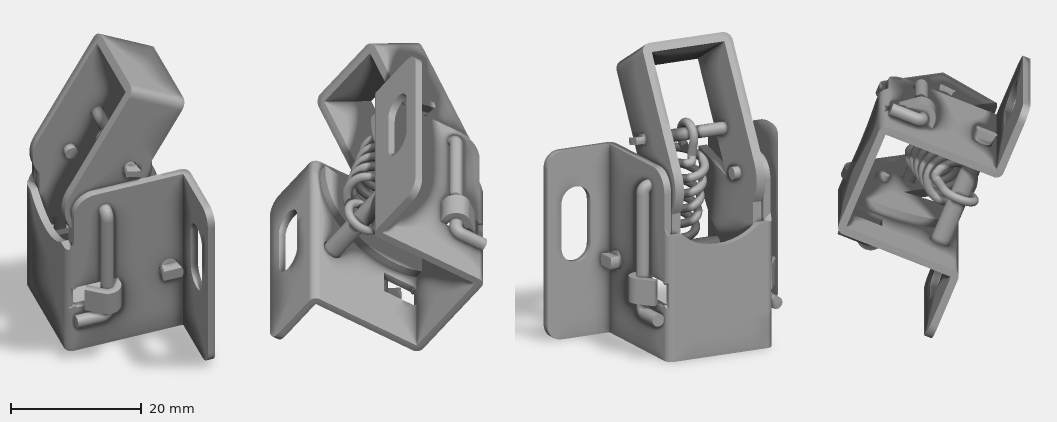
import cadquery as cq
import math


BRACKET_WIDTH = 40.0
BRACKET_DEPTH = 20.2
BRACKET_HEIGHT = 30.0
SHEET = 1.2
CHANNEL_HALF = 9.2
CHANNEL_INNER = CHANNEL_HALF - SHEET
FRONT_INNER_Y = SHEET - BRACKET_DEPTH
FLANGE_CORNER_RADIUS = 2.5
WALL_CORNER_RADIUS = 3.5
FRONT_HEIGHT = 20.0
FRONT_SCOOP_RADIUS = 10.0
FRONT_SCOOP_Z = 27.5
BEND_RAMP_ANGLE = 35.0
BEND_RAMP_RISE = 1.15

SLOT_X = 15.0
SLOT_Z = 18.0
SLOT_LENGTH = 12.0
SLOT_WIDTH = 5.0

HINGE_PIN_RADIUS = 1.0
HINGE_BEND_RADIUS = 1.05
HINGE_Y = -14.0
HINGE_Z = 26.65
HINGE_INNER_X = 5.15
HINGE_UPRIGHT_X = CHANNEL_HALF + HINGE_BEND_RADIUS
HINGE_ARM_Z = 6.63
HINGE_ARM_END_Y = -19.05

TAB_BOTTOM = 8.5
TAB_TOP = 12.5
TAB_OUTER_RADIUS = HINGE_PIN_RADIUS + SHEET
TAB_LEAN = 38.0
TAB_TAIL = 2.9
FOLD_FLAT_X = 8.8
WINDOW_NIB_HALF = 0.52
WINDOW_NIB_HEIGHT = 0.4

HANDLE_TILT = 30.0
HANDLE_HALF = 7.75
HANDLE_SHEET = 1.5
HANDLE_REACH = 20.85
HANDLE_DEPTH = 10.0
KNUCKLE_RADIUS = 5.95
CAM_RADIUS = 13.0
CAM_STEP_ANGLE = 15.0
CAM_STEP_RISE = 0.55
FOOT_OFFSET = 4.8

UPPER_PIN_Y = -9.4
UPPER_PIN_Z = 32.55
UPPER_PIN_RADIUS = 1.0
UPPER_PIN_HOLE_RADIUS = 1.15
UPPER_PIN_HALF = 9.55
UPPER_HEAD_RADIUS = 1.3
UPPER_FLAT = 1.1
UPPER_FLAT_ANGLE = -14.0

LOWER_PIN_Y = -3.55
LOWER_PIN_Z = 12.15
LOWER_PIN_RADIUS = 1.5
LOWER_PIN_HOLE_RADIUS = 1.6
LOWER_PIN_HALF = 11.05
LOWER_HEAD_RADIUS = 1.7
LOWER_FLAT = 1.8
LOWER_FLAT_ANGLE = 0.0

PINCH_LENGTH = 0.35

WIRE_RADIUS = 0.65
COIL_RADIUS = 3.5
COIL_PITCH = 2.7
COIL_TURNS = 5.0
COIL_SETBACK = 0.25
UPPER_COIL_GAP = 3.4
HOOK_SLACK = 0.45
ELBOW_ANGLE = 15.0
ELBOW_DROP = 1.05


def mirrored(shape):
    return shape.mirror("YZ")


def rod_x(radius, half_length, y, z):
    """Round rod along X, centred on X = 0."""
    return cq.Workplane("YZ", origin=(-half_length, y, z)).circle(radius).extrude(2 * half_length)


def polar(radius, angle):
    return (radius * math.cos(math.radians(angle)), radius * math.sin(math.radians(angle)))


def folded_sheet():
    half_width = BRACKET_WIDTH / 2
    fold = SHEET * (1 - math.sqrt(0.5))
    return (
        cq.Workplane("XY")
        .moveTo(0, -BRACKET_DEPTH)
        .lineTo(CHANNEL_INNER, -BRACKET_DEPTH)
        .threePointArc((CHANNEL_HALF - fold, fold - BRACKET_DEPTH), (CHANNEL_HALF, FRONT_INNER_Y))
        .lineTo(CHANNEL_HALF, -SHEET)
        .lineTo(half_width, -SHEET)
        .lineTo(half_width, 0)
        .lineTo(CHANNEL_HALF, 0)
        .threePointArc((CHANNEL_INNER + fold, -fold), (CHANNEL_INNER, -SHEET))
        .lineTo(CHANNEL_INNER, FRONT_INNER_Y)
        .lineTo(0, FRONT_INNER_Y)
        .mirrorY()
        .extrude(BRACKET_HEIGHT)
    )


def bend_ramp():
    """Sloping wedge left on the right front fold, rising from the inner corner to the outer face."""
    along = (*polar(1, -BEND_RAMP_ANGLE), 0)
    plane = cq.Plane(origin=(CHANNEL_INNER, FRONT_INNER_Y, FRONT_HEIGHT), xDir=(0, 0, 1), normal=along)
    rise = 2 * BEND_RAMP_RISE
    run = 2 * SHEET * math.sin(math.radians(BEND_RAMP_ANGLE))
    return cq.Workplane(plane).polyline([(0, 0), (0, -run), (rise, -run)]).close().extrude(2 * SHEET)


def front_clearance():
    """Space removed above the front wall."""
    clearance = (
        cq.Workplane("XY", origin=(0, FRONT_INNER_Y - SHEET / 2, FRONT_HEIGHT))
        .rect(2 * CHANNEL_HALF, SHEET)
        .extrude(BRACKET_HEIGHT - FRONT_HEIGHT)
    )
    ramp = bend_ramp()
    return clearance.cut(ramp).cut(mirrored(ramp))


def front_scoop():
    return (
        cq.Workplane("XZ", origin=(0, FRONT_INNER_Y, FRONT_SCOOP_Z))
        .circle(FRONT_SCOOP_RADIUS)
        .extrude(SHEET)
    )


def tab_window():
    """Opening in the right wall in front of the tab, with a flat on the fold and nibs at the fold line."""
    height = TAB_TOP - TAB_BOTTOM

    def block(inner_x, back_y, front_y):
        return cq.Workplane("XY").box(
            CHANNEL_HALF - inner_x, back_y - front_y, height, centered=False
        ).translate((inner_x, front_y, TAB_BOTTOM))

    opening = block(CHANNEL_INNER, HINGE_Y + HINGE_PIN_RADIUS, FRONT_INNER_Y)
    window = opening.union(block(FOLD_FLAT_X, FRONT_INNER_Y, -BRACKET_DEPTH))
    for edge_z, tip_z in (
        (TAB_BOTTOM, TAB_BOTTOM + WINDOW_NIB_HEIGHT),
        (TAB_TOP, TAB_TOP - WINDOW_NIB_HEIGHT),
    ):
        outline = [
            (FRONT_INNER_Y + WINDOW_NIB_HALF, edge_z),
            (FRONT_INNER_Y, tip_z),
            (FRONT_INNER_Y - WINDOW_NIB_HALF, edge_z),
        ]
        nib = cq.Workplane("YZ", origin=(CHANNEL_INNER, 0, 0)).polyline(outline).close().extrude(SHEET)
        window = window.cut(nib)
    return window


def tab():
    """Right tab: straight out of the wall, around the hinge pin, then back toward the wall."""
    def around_pin(radius, angle):
        x, y = polar(radius, angle)
        return (HINGE_UPRIGHT_X + x, HINGE_Y + y)

    def tail_end(start):
        x, y = polar(TAB_TAIL, -90 - TAB_LEAN)
        return (start[0] + x, start[1] + y)

    outer_start = around_pin(TAB_OUTER_RADIUS, -TAB_LEAN)
    inner_start = around_pin(HINGE_PIN_RADIUS, -TAB_LEAN)
    return (
        cq.Workplane("XY", origin=(0, 0, TAB_BOTTOM))
        .moveTo(CHANNEL_INNER, HINGE_Y + TAB_OUTER_RADIUS)
        .lineTo(*around_pin(TAB_OUTER_RADIUS, 90))
        .threePointArc(around_pin(TAB_OUTER_RADIUS, 0), outer_start)
        .lineTo(*tail_end(outer_start))
        .lineTo(*tail_end(inner_start))
        .lineTo(*inner_start)
        .threePointArc(around_pin(HINGE_PIN_RADIUS, 0), around_pin(HINGE_PIN_RADIUS, 90))
        .lineTo(CHANNEL_INNER, HINGE_Y + HINGE_PIN_RADIUS)
        .close()
        .extrude(TAB_TOP - TAB_BOTTOM)
    )


def make_bracket():
    body = folded_sheet().cut(front_clearance()).cut(front_scoop())
    body = body.edges("|Y").edges("<X or >X").fillet(FLANGE_CORNER_RADIUS)
    wall_corner = cq.selectors.BoxSelector(
        (-CHANNEL_HALF, FRONT_INNER_Y - SHEET, BRACKET_HEIGHT - SHEET),
        (CHANNEL_HALF, FRONT_INNER_Y + SHEET, BRACKET_HEIGHT + SHEET),
    )
    body = body.edges("|X").edges(wall_corner).fillet(WALL_CORNER_RADIUS)
    slots = (
        cq.Workplane("XZ", origin=(0, 0, SLOT_Z))
        .pushPoints([(-SLOT_X, 0), (SLOT_X, 0)])
        .slot2D(SLOT_LENGTH, SLOT_WIDTH, 90)
        .extrude(SHEET)
    )
    body = body.cut(slots)
    body = body.cut(rod_x(HINGE_PIN_RADIUS, CHANNEL_HALF, HINGE_Y, HINGE_Z))
    body = body.cut(rod_x(LOWER_PIN_HOLE_RADIUS, CHANNEL_HALF, LOWER_PIN_Y, LOWER_PIN_Z))
    window = tab_window()
    right_tab = tab()
    body = body.cut(window).cut(mirrored(window))
    return body.union(right_tab).union(mirrored(right_tab))


def handle_side():
    """Side outline of the handle about the hinge axis, extruded over the full width."""
    tilt = math.radians(HANDLE_TILT)

    def handle_point(back, up):
        return (
            back * math.cos(tilt) + up * math.sin(tilt),
            up * math.cos(tilt) - back * math.sin(tilt),
        )

    back = HANDLE_DEPTH - KNUCKLE_RADIUS
    step_corner = handle_point(back, CAM_STEP_RISE)
    step_y, step_z = polar(1, CAM_STEP_ANGLE)
    along = step_corner[0] * step_y + step_corner[1] * step_z
    corner_radius = math.hypot(*step_corner)
    step_length = math.sqrt(along**2 + CAM_RADIUS**2 - corner_radius**2) - along
    step_end = (step_corner[0] + step_length * step_y, step_corner[1] + step_length * step_z)
    foot_bottom = (-FOOT_OFFSET, -math.sqrt(CAM_RADIUS**2 - FOOT_OFFSET**2))
    foot_top = (-FOOT_OFFSET, -math.sqrt(KNUCKLE_RADIUS**2 - FOOT_OFFSET**2))
    return (
        cq.Workplane("YZ", origin=(-HANDLE_HALF, HINGE_Y, HINGE_Z))
        .moveTo(*handle_point(-KNUCKLE_RADIUS, 0))
        .lineTo(*handle_point(-KNUCKLE_RADIUS, HANDLE_REACH))
        .lineTo(*handle_point(back, HANDLE_REACH))
        .lineTo(*step_corner)
        .lineTo(*step_end)
        .threePointArc((0, -CAM_RADIUS), foot_bottom)
        .lineTo(*foot_top)
        .threePointArc((-KNUCKLE_RADIUS, 0), handle_point(-KNUCKLE_RADIUS, 0))
        .close()
        .extrude(2 * HANDLE_HALF)
    )


def handle_frame():
    """U shape in the plane of the handle, with rounded upper corners and open below."""
    front_y, front_z = polar(1, 180 - HANDLE_TILT)
    plane = cq.Plane(origin=(0, HINGE_Y, HINGE_Z), xDir=(1, 0, 0), normal=(0, front_y, front_z))

    ample = 2 * CAM_RADIUS

    def upright_block(half_width, top):
        height = top + ample
        return (
            cq.Workplane(plane)
            .center(0, top - height / 2)
            .rect(2 * half_width, height)
            .extrude(ample, both=True)
        )

    outer = upright_block(HANDLE_HALF, HANDLE_REACH)
    top_corners = cq.selectors.ParallelDirSelector(cq.Vector(0, front_y, front_z))
    outer = outer.faces(">Z").edges(top_corners).fillet(HANDLE_SHEET)
    return outer.cut(upright_block(HANDLE_HALF - HANDLE_SHEET, HANDLE_REACH - HANDLE_SHEET))


def make_handle():
    body = handle_side().intersect(handle_frame())
    body = body.cut(rod_x(HINGE_PIN_RADIUS, HANDLE_HALF, HINGE_Y, HINGE_Z))
    return body.cut(rod_x(UPPER_PIN_HOLE_RADIUS, HANDLE_HALF, UPPER_PIN_Y, UPPER_PIN_Z))


def make_right_hinge_pin():
    """Wire that enters along X, runs down beside the wall and ends in an arm toward the front."""
    x, y = HINGE_UPRIGHT_X, HINGE_Y
    bend = HINGE_BEND_RADIUS
    mid = bend * (1 - math.sqrt(0.5))
    start = cq.Vector(HINGE_INNER_X, y, HINGE_Z)
    top_in = cq.Vector(x - bend, y, HINGE_Z)
    top_mid = cq.Vector(x - mid, y, HINGE_Z - mid)
    top_out = cq.Vector(x, y, HINGE_Z - bend)
    low_in = cq.Vector(x, y, HINGE_ARM_Z + bend)
    low_mid = cq.Vector(x, y - mid, HINGE_ARM_Z + mid)
    low_out = cq.Vector(x, y - bend, HINGE_ARM_Z)
    path = cq.Wire.assembleEdges([
        cq.Edge.makeLine(start, top_in),
        cq.Edge.makeThreePointArc(top_in, top_mid, top_out),
        cq.Edge.makeLine(top_out, low_in),
        cq.Edge.makeThreePointArc(low_in, low_mid, low_out),
        cq.Edge.makeLine(low_out, cq.Vector(x, HINGE_ARM_END_Y, HINGE_ARM_Z)),
    ])
    return cq.Workplane("YZ", origin=start.toTuple()).circle(HINGE_PIN_RADIUS).sweep(path)


def make_spring_pin(y, z, radius, half_length, shank_half, head_radius, flat, flat_angle):
    """Round shank whose ends widen and are pinched to two parallel flats."""
    half_flat = flat / 2
    flat_x = shank_half + PINCH_LENGTH
    round_half = [(0, 0), (0, radius), (shank_half, radius), (half_length, head_radius), (half_length, 0)]
    right = cq.Workplane("XY").polyline(round_half).close().revolve(360, (0, 0), (1, 0))
    pinch = [
        (0, -head_radius), (shank_half, -head_radius), (flat_x, -half_flat), (half_length, -half_flat),
        (half_length, half_flat), (flat_x, half_flat), (shank_half, head_radius), (0, head_radius),
    ]
    right = right.intersect(cq.Workplane("XZ").polyline(pinch).close().extrude(head_radius, both=True))
    pin = right.union(mirrored(right))
    return pin.rotate((0, 0, 0), (1, 0, 0), flat_angle).translate((0, y, z))


def hook_edges(pin_radius, coil_end, coil_tangent):
    """Wire centreline of a hook on a pin at the origin: open loop, leg along -Z, elbow into the coil."""
    radius = pin_radius + WIRE_RADIUS + HOOK_SLACK
    centre_z = -HOOK_SLACK
    tail = cq.Vector(0, 0, centre_z - radius)
    loop_y, loop_z = polar(radius, 45)
    loop_mid = cq.Vector(0, loop_y, centre_z + loop_z)
    leg_top = cq.Vector(0, -radius, centre_z)
    leg_bottom = cq.Vector(0, -radius, coil_end.z + ELBOW_DROP)
    return [
        cq.Edge.makeThreePointArc(tail, loop_mid, leg_top),
        cq.Edge.makeLine(leg_top, leg_bottom),
        cq.Edge.makeSpline([leg_bottom, coil_end], tangents=[cq.Vector(0, 0, -1), coil_tangent]),
    ]


def make_spring():
    """Spring built upright under the upper pin at the origin, then tilted onto the lower pin."""
    run_y = LOWER_PIN_Y - UPPER_PIN_Y
    drop = UPPER_PIN_Z - LOWER_PIN_Z
    span = math.hypot(run_y, drop)

    coil_height = COIL_PITCH * (COIL_TURNS - 2 * ELBOW_ANGLE / 360)
    coil_low_z = -UPPER_COIL_GAP - coil_height
    end_x, end_y = polar(COIL_RADIUS, 270 - ELBOW_ANGLE)
    end_y += COIL_SETBACK
    tangent_x, tangent_y = polar(1, 180 - ELBOW_ANGLE)
    tangent = cq.Vector(tangent_x, tangent_y, -COIL_PITCH / (2 * math.pi * COIL_RADIUS))

    coil = cq.Wire.makeHelix(COIL_PITCH, coil_height, COIL_RADIUS)
    coil = coil.rotate(cq.Vector(0, 0, 0), cq.Vector(0, 0, 1), ELBOW_ANGLE - 90)
    coil = coil.translate(cq.Vector(0, COIL_SETBACK, coil_low_z))

    upper_end = cq.Vector(end_x, end_y, -UPPER_COIL_GAP)
    upper_hook = hook_edges(UPPER_PIN_RADIUS, upper_end, tangent)
    lower_end = cq.Vector(end_x, end_y, -span - coil_low_z)
    lower_hook = [
        edge.rotate(cq.Vector(0, 0, 0), cq.Vector(0, 1, 0), 180).translate(cq.Vector(0, 0, -span))
        for edge in hook_edges(LOWER_PIN_RADIUS, lower_end, tangent)
    ]
    path = cq.Wire.assembleEdges([*upper_hook, *coil.Edges(), *reversed(lower_hook)])
    tail_z = upper_hook[0].startPoint().z
    spring = cq.Workplane("XZ", origin=(0, 0, tail_z)).circle(WIRE_RADIUS).sweep(path)
    tilt = math.degrees(math.atan2(run_y, drop))
    return spring.rotate((0, 0, 0), (1, 0, 0), tilt).translate((0, UPPER_PIN_Y, UPPER_PIN_Z))


bracket = make_bracket()
handle = make_handle()
right_hinge_pin = make_right_hinge_pin()
hinge_pins = [right_hinge_pin, mirrored(right_hinge_pin)]
upper_pin = make_spring_pin(
    UPPER_PIN_Y, UPPER_PIN_Z, UPPER_PIN_RADIUS, UPPER_PIN_HALF,
    HANDLE_HALF, UPPER_HEAD_RADIUS, UPPER_FLAT, UPPER_FLAT_ANGLE,
)
lower_pin = make_spring_pin(
    LOWER_PIN_Y, LOWER_PIN_Z, LOWER_PIN_RADIUS, LOWER_PIN_HALF,
    CHANNEL_HALF, LOWER_HEAD_RADIUS, LOWER_FLAT, LOWER_FLAT_ANGLE,
)
spring = make_spring()

bodies = [bracket, handle, *hinge_pins, upper_pin, lower_pin, spring]
result = cq.Compound.makeCompound([body.solids().val() for body in bodies])